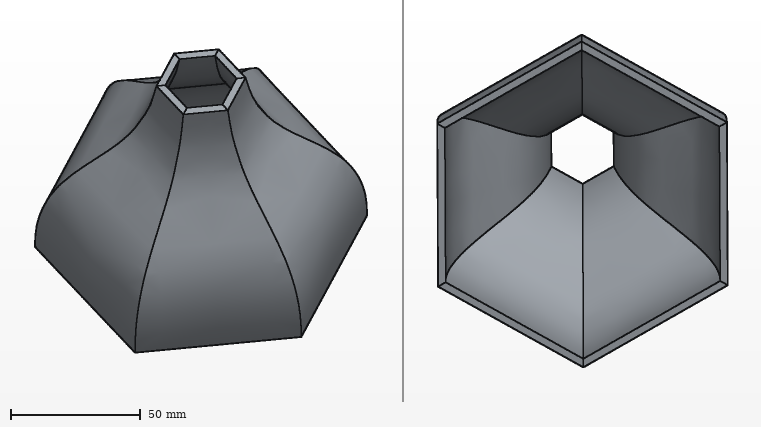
import cadquery as cq
import math


base_width = 129.0
height = 94.1
neck_apothem = 15.0
wall = 3.0
neck_slope = 0.17
panel_count = 6

half_angle = math.pi / panel_count
base_apothem = base_width / 2 * math.cos(half_angle)
rim_width = wall * math.hypot(1, neck_slope)

outer_points = [
    (base_apothem, 0),
    (54.2, 20.0),
    (47.4, 37.7),
    (34.8, 52.4),
    (23.6, 66.2),
    (18.7, 77.2),
    (neck_apothem, height),
]
base_tangent = cq.Vector(0, 0, 1)
neck_tangent = cq.Vector(0, -neck_slope, 1)
inner_spans = 12


def profile_curve(points):
    """Smooth curve in the YZ plane, upright at the base and leaning in at the neck."""
    return cq.Edge.makeSpline(points, tangents=[base_tangent, neck_tangent])


def inward_offset(curve, fraction):
    """Point one wall thickness inside the curve, square to it."""
    tangent = curve.tangentAt(fraction)
    inward = cq.Vector(0, -tangent.z, tangent.y)
    return curve.positionAt(fraction) + inward * wall


def panel_profile():
    """Closed cross-section of a panel, with level ends at the base and the rim."""
    outer = profile_curve([cq.Vector(0, y, z) for y, z in outer_points])
    inner_points = [cq.Vector(0, base_apothem - wall, 0)]
    inner_points += [inward_offset(outer, i / inner_spans) for i in range(1, inner_spans)]
    inner_points.append(cq.Vector(0, neck_apothem - rim_width, height))
    inner = profile_curve(inner_points)
    base_edge = cq.Edge.makeLine(inner.startPoint(), outer.startPoint())
    rim_edge = cq.Edge.makeLine(outer.endPoint(), inner.endPoint())
    return cq.Wire.assembleEdges([base_edge, outer, rim_edge, inner])


def mitre_wedge():
    """Triangular prism whose two sides are the mitre planes through the axis."""
    reach = base_width
    half_spread = reach * math.tan(half_angle)
    outline = [(0, 0), (half_spread, reach), (-half_spread, reach)]
    return cq.Workplane("XY").polyline(outline).close().extrude(height)


def make_panel(index):
    """One panel, turned about the axis to its side of the hexagon."""
    strip_start = cq.Vector(-base_width / 2, 0, 0)
    strip_vector = cq.Vector(base_width, 0, 0)
    strip = cq.Solid.extrudeLinear(panel_profile().translate(strip_start), [], strip_vector)
    panel = cq.Workplane("XY").add(strip).intersect(mitre_wedge()).solids()
    return panel.rotate((0, 0, 0), (0, 0, 1), index * 360 / panel_count)


panels = [make_panel(index) for index in range(panel_count)]

result = cq.Compound.makeCompound([panel.val() for panel in panels])